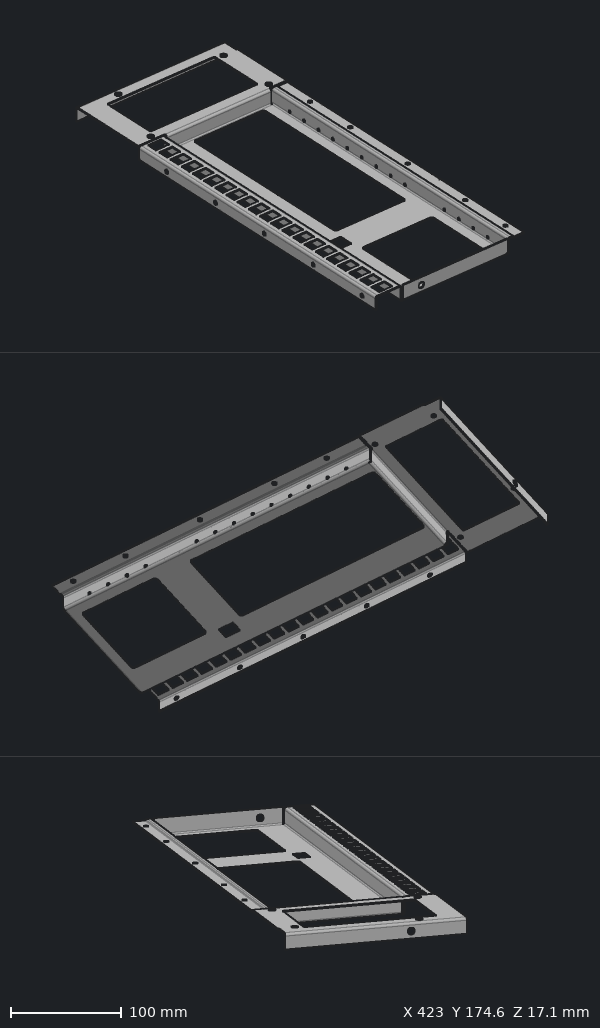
import cadquery as cq
import math


LENGTH = 423.01
DEPTH = 174.62
HEIGHT = 17.09
SHEET = 1.27
INNER_R = SHEET
OUTER_R = INNER_R + SHEET

PLATE_END_X = 87.6
LEFT_FLANGE_DROP = 15.5
CORNER_RELIEF_X = 18.0
CORNER_RELIEF_Y = 1.3
PLATE_WINDOW = (14.65, 75.8, 24.3, 150.4)
PLATE_WINDOW_R = 1.0
SCREW_HOLES = ((18.5, 158.0), (82.2, 158.0), (82.2, 19.1), (8.2, 42.8))
SCREW_HOLE_D = 4.22
SCREW_SINK_D = 6.35
SINK_ANGLE = 90.0

PAN_FLOOR_Z = SHEET - HEIGHT
PAN_LEFT_X = PLATE_END_X + OUTER_R
PAN_RIGHT_X = LENGTH - SHEET
PAN_FRONT_Y = 30.3
PAN_BACK_Y = 155.65
PAN_WINDOW_R = 2.5
PAN_WINDOWS = ((93.6, 293.6, 59.9, 142.7), (330.6, 410.8, 59.9, 142.7))
SWITCH_WINDOW = (303.9, 319.1, 45.9, 57.4)

RAIL_START_X = 88.6
RAIL_END_X = PAN_RIGHT_X
RAIL_HOLE_MID_X = 265.0
RAIL_HOLE_D = 4.22
FRONT_FLANGE_DROP = 14.3
FRONT_HOLE_COUNT = 5
FRONT_HOLE_PITCH = 68.8
BACK_HOLE_INNER = 80.9
BACK_HOLE_OUTER = 2 * FRONT_HOLE_PITCH
BACK_HOLE_OFFSETS = (-BACK_HOLE_OUTER, -BACK_HOLE_INNER, 0.0, BACK_HOLE_INNER, BACK_HOLE_OUTER)
BACK_HOLE_Y = 168.8
LIP_FLAT = 2.6
JOGGLE_RUN = 2.5
JOGGLE_DROP = SHEET
JOGGLE_ANGLE = 45.0

KEY_COUNT = 21
KEY_PITCH = 15.73
KEY_WIDTH = 11.2
KEY_Y_MIN = 7.6
KEY_Y_MAX = 23.0

HOLE_REACH = 4 * SHEET
SIDE_HOLE_D = 6.35
SIDE_HOLE_Y = 53.1
FLANGE_HOLE_Z = -8.5
WALL_HOLE_D = 2.71
WALL_HOLE_PITCH = 20.32
WALL_HOLE_Z = PAN_FLOOR_Z + 2.7
WALL_HOLE_ROWS = ((114.2, 9), (332.2, 4))


def bent_sheet(plane, start, heading, steps):
    """Closed sheet outline that follows its left-hand face.

    A step ("flat", length) runs straight. A step ("bend", angle, radius) turns
    left for a positive angle, with the radius measured on the left-hand face.
    """
    x, y = start
    turn = math.radians(heading)
    face = [(x, y)]
    back = [(x + SHEET * math.sin(turn), y - SHEET * math.cos(turn))]
    middles = []
    for step in steps:
        if step[0] == "flat":
            x += step[1] * math.cos(turn)
            y += step[1] * math.sin(turn)
            middles.append(None)
        else:
            angle = math.radians(step[1])
            side = math.copysign(1, angle)
            radius = step[2]
            back_radius = radius + side * SHEET
            center_x = x - side * radius * math.sin(turn)
            center_y = y + side * radius * math.cos(turn)
            half = turn + angle / 2
            out_x = side * math.sin(half)
            out_y = -side * math.cos(half)
            middles.append((
                (center_x + radius * out_x, center_y + radius * out_y),
                (center_x + back_radius * out_x, center_y + back_radius * out_y),
            ))
            turn += angle
            x = center_x + side * radius * math.sin(turn)
            y = center_y - side * radius * math.cos(turn)
        face.append((x, y))
        back.append((x + SHEET * math.sin(turn), y - SHEET * math.cos(turn)))

    outline = cq.Workplane(plane).moveTo(*face[0])
    for middle, end in zip(middles, face[1:]):
        outline = outline.threePointArc(middle[0], end) if middle else outline.lineTo(*end)
    outline = outline.lineTo(*back[-1])
    for middle, end in zip(reversed(middles), reversed(back[:-1])):
        outline = outline.threePointArc(middle[1], end) if middle else outline.lineTo(*end)
    return outline.close()


BEND_OUT = ("bend", -90, OUTER_R)
BEND_IN = ("bend", 90, INNER_R)
PAN_WALL = ("flat", -PAN_FLOOR_Z - OUTER_R - INNER_R)


def along_y(outline, y_min, y_max):
    """Extrude an XZ outline between two Y positions."""
    return outline.extrude(y_min - y_max).translate((0, y_min, 0))


def along_x(outline, x_min, x_max):
    """Extrude a YZ outline between two X positions."""
    return outline.extrude(x_max - x_min).translate((x_min, 0, 0))


def box_cut(x_min, x_max, y_min, y_max, corner_r=0.0):
    """Rectangular cutter through the full height."""
    cutter = cq.Workplane("XY").box(x_max - x_min, y_max - y_min, 2 * HEIGHT)
    if corner_r:
        cutter = cutter.edges("|Z").fillet(corner_r)
    return cutter.translate(((x_min + x_max) / 2, (y_min + y_max) / 2, -HEIGHT / 2))


def make_left_plate():
    steps = [("flat", LEFT_FLANGE_DROP - OUTER_R), BEND_OUT, ("flat", PLATE_END_X - OUTER_R)]
    plate = along_y(bent_sheet("XZ", (0, -LEFT_FLANGE_DROP), 90, steps), 0, DEPTH)
    relief = box_cut(0, CORNER_RELIEF_X, DEPTH - CORNER_RELIEF_Y, DEPTH)
    return plate.cut(relief)


def make_pan():
    """Floor with the left wall hanging from the plate and the right end wall."""
    steps = [
        BEND_OUT,
        PAN_WALL,
        BEND_IN,
        ("flat", PAN_RIGHT_X - PAN_LEFT_X - 2 * INNER_R),
        BEND_IN,
        ("flat", -PAN_FLOOR_Z - INNER_R),
    ]
    outline = bent_sheet("XZ", (PLATE_END_X, 0), 0, steps)
    return along_y(outline, PAN_FRONT_Y + INNER_R, PAN_BACK_Y - INNER_R)


def make_front_rail():
    steps = [
        ("flat", FRONT_FLANGE_DROP - OUTER_R),
        BEND_OUT,
        ("flat", PAN_FRONT_Y - 2 * OUTER_R),
        BEND_OUT,
        PAN_WALL,
        BEND_IN,
    ]
    outline = bent_sheet("YZ", (0, -FRONT_FLANGE_DROP), 90, steps)
    return along_x(outline, RAIL_START_X, RAIL_END_X)


def make_back_rail():
    """Back wall, narrow lip and a strip set one sheet lower by a joggle.

    The joggle is two equal opposite bends joined by a short 45 degree ramp,
    sized so that it covers the joggle run while falling the joggle drop.
    """
    sine = math.sin(math.radians(JOGGLE_ANGLE))
    cosine = math.cos(math.radians(JOGGLE_ANGLE))
    mid_radius = (JOGGLE_RUN - JOGGLE_DROP) / (2 * (sine + cosine - 1))
    ramp = (JOGGLE_DROP - 2 * mid_radius * (1 - cosine)) / sine
    strip = DEPTH - PAN_BACK_Y - OUTER_R - LIP_FLAT - JOGGLE_RUN
    steps = [
        BEND_IN,
        PAN_WALL,
        BEND_OUT,
        ("flat", LIP_FLAT),
        ("bend", -JOGGLE_ANGLE, mid_radius + SHEET / 2),
        ("flat", ramp),
        ("bend", JOGGLE_ANGLE, mid_radius - SHEET / 2),
        ("flat", strip),
    ]
    outline = bent_sheet("YZ", (PAN_BACK_Y - INNER_R, PAN_FLOOR_Z), 0, steps)
    return along_x(outline, RAIL_START_X, RAIL_END_X)


def cylinder(center, direction, diameter, length):
    """Cylinder centred on a point, lying along a direction."""
    axis = cq.Vector(*direction)
    base = cq.Vector(*center) - axis * (length / 2)
    return cq.Workplane(obj=cq.Solid.makeCylinder(diameter / 2, length, base, axis))


def cut_windows(body):
    body = body.cut(box_cut(*PLATE_WINDOW, PLATE_WINDOW_R))
    for window in PAN_WINDOWS:
        body = body.cut(box_cut(*window, PAN_WINDOW_R))
    body = body.cut(box_cut(*SWITCH_WINDOW))
    rail_mid_x = (RAIL_START_X + RAIL_END_X) / 2
    for i in range(KEY_COUNT):
        x = rail_mid_x + (i - (KEY_COUNT - 1) / 2) * KEY_PITCH
        body = body.cut(box_cut(x - KEY_WIDTH / 2, x + KEY_WIDTH / 2, KEY_Y_MIN, KEY_Y_MAX))
    return body


def cut_screw_holes(body):
    plate_top = cq.Workplane("XY").pushPoints(SCREW_HOLES)
    body = body.cut(plate_top.circle(SCREW_HOLE_D / 2).extrude(-HOLE_REACH))
    sink_depth = (SCREW_SINK_D - SCREW_HOLE_D) / 2 / math.tan(math.radians(SINK_ANGLE / 2))
    for x, y in SCREW_HOLES:
        sink = cq.Solid.makeCone(
            SCREW_SINK_D / 2, SCREW_HOLE_D / 2, sink_depth, cq.Vector(x, y, 0), cq.Vector(0, 0, -1)
        )
        body = body.cut(cq.Workplane(obj=sink))
    return body


def cut_rail_holes(body):
    for i in range(FRONT_HOLE_COUNT):
        x = RAIL_HOLE_MID_X + (i - (FRONT_HOLE_COUNT - 1) / 2) * FRONT_HOLE_PITCH
        center = (x, 0, FLANGE_HOLE_Z)
        body = body.cut(cylinder(center, (0, 1, 0), RAIL_HOLE_D, HOLE_REACH))
    for offset in BACK_HOLE_OFFSETS:
        center = (RAIL_HOLE_MID_X + offset, BACK_HOLE_Y, -JOGGLE_DROP)
        body = body.cut(cylinder(center, (0, 0, 1), RAIL_HOLE_D, HOLE_REACH))
    return body


def cut_wall_holes(body):
    for x in (0, LENGTH):
        body = body.cut(cylinder((x, SIDE_HOLE_Y, FLANGE_HOLE_Z), (1, 0, 0), SIDE_HOLE_D, HOLE_REACH))
    for first_x, count in WALL_HOLE_ROWS:
        for i in range(count):
            center = (first_x + i * WALL_HOLE_PITCH, PAN_BACK_Y, WALL_HOLE_Z)
            body = body.cut(cylinder(center, (0, 1, 0), WALL_HOLE_D, HOLE_REACH))
    return body


panel = make_pan().union(make_left_plate()).union(make_front_rail()).union(make_back_rail())
panel = cut_windows(panel)
panel = cut_screw_holes(panel)
panel = cut_rail_holes(panel)
result = cut_wall_holes(panel)